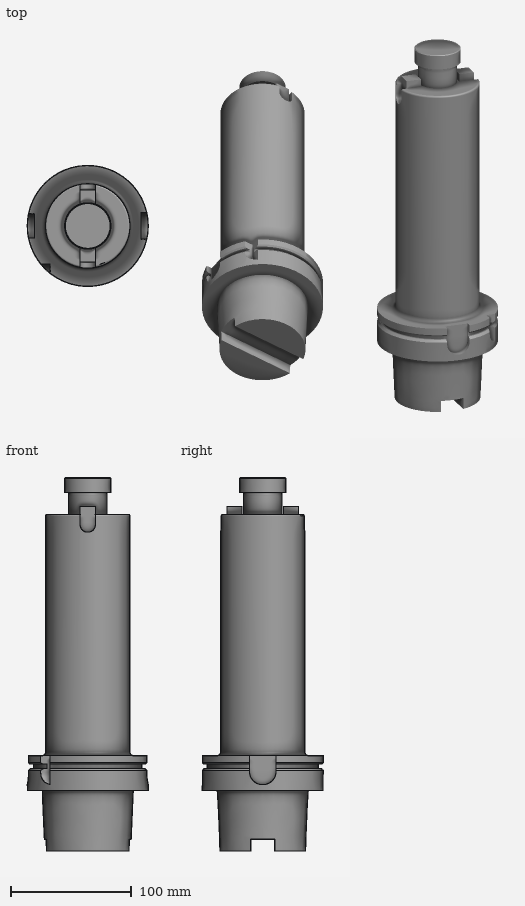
import cadquery as cq
import math

total_height = 308.8
flange_bottom = 50.0
flange_top = 79.0
barrel_top = 278.5
spigot_top = 296.5

taper_bottom_radius = 35.5
taper_top_radius = 37.7
drive_slot_width = 19.8
drive_slot_height = 10.0

flange_radius = 50.0
groove_radius = 46.0
groove_bottom = 68.5
groove_top = 72.0
groove_lower_chamfer = 2.0
groove_upper_chamfer = 1.2

notch_bottom = 55.0
left_notch_width = 19.8
right_notch_width = 22.0
side_notch_floor_x = 44.0
corner_notch_floor_x = -31.2
corner_notch_inner_y = -31.5
corner_notch_width = 19.8

barrel_radius = 35.0
cove_radius = 3.0
barrel_round = 1.5

spigot_radius = 16.0
spigot_lead_in_height = 2.2
spigot_lead_in_depth = 0.3
head_radius = 19.0
head_chamfer = 0.5

key_width = 12.7
key_top = 285.0
key_bottom = 263.7
key_inner = 17.0
key_outer = 29.5
key_sides = (-1, 1)


def round_bottom_outline(plane, center, width, bottom, top):
    """Upright slot outline in the given plane: straight sides, flat top, semicircular bottom."""
    radius = width / 2
    return (
        cq.Workplane(plane)
        .moveTo(center - radius, top)
        .lineTo(center - radius, bottom + radius)
        .threePointArc((center, bottom), (center + radius, bottom + radius))
        .lineTo(center + radius, top)
        .close()
    )


def corner_to_arc_middle(radius):
    """Offset, along each axis, from a square corner to the middle of the quarter arc that replaces it."""
    return radius * (1 - math.cos(math.radians(45)))


def turned_blank():
    """Taper, flange, barrel and spigot as one turned profile."""
    cove_start = barrel_radius + cove_radius
    cove_end = flange_top + cove_radius
    cove_middle_offset = corner_to_arc_middle(cove_radius)
    round_middle_offset = corner_to_arc_middle(barrel_round)
    return (
        cq.Workplane("XZ")
        .lineTo(taper_bottom_radius, 0)
        .lineTo(taper_top_radius, flange_bottom)
        .lineTo(flange_radius, flange_bottom)
        .lineTo(flange_radius, groove_bottom - groove_lower_chamfer)
        .lineTo(flange_radius - groove_lower_chamfer, groove_bottom)
        .lineTo(groove_radius, groove_bottom)
        .lineTo(groove_radius, groove_top)
        .lineTo(flange_radius - groove_upper_chamfer, groove_top)
        .lineTo(flange_radius, groove_top + groove_upper_chamfer)
        .lineTo(flange_radius, flange_top)
        .lineTo(cove_start, flange_top)
        .threePointArc(
            (barrel_radius + cove_middle_offset, flange_top + cove_middle_offset),
            (barrel_radius, cove_end),
        )
        .lineTo(barrel_radius, barrel_top - barrel_round)
        .threePointArc(
            (barrel_radius - round_middle_offset, barrel_top - round_middle_offset),
            (barrel_radius - barrel_round, barrel_top),
        )
        .lineTo(spigot_radius, barrel_top)
        .lineTo(spigot_radius, spigot_top - spigot_lead_in_height)
        .lineTo(spigot_radius - spigot_lead_in_depth, spigot_top)
        .lineTo(0, spigot_top)
        .close()
        .revolve(360, (0, 0, 0), (0, 1, 0))
    )


def flange_notch(center_y, width, x_start, x_end):
    """Notch cutter from the common notch bottom up through the flange top."""
    outline = round_bottom_outline("YZ", center_y, width, notch_bottom, flange_top)
    return outline.extrude(x_end - x_start).translate((x_start, 0, 0))


def flange_notches():
    """Notches on the left, the right and the front left corner of the flange."""
    corner_center_y = corner_notch_inner_y - corner_notch_width / 2
    return [
        flange_notch(0, left_notch_width, -flange_radius, -side_notch_floor_x),
        flange_notch(0, right_notch_width, side_notch_floor_x, flange_radius),
        flange_notch(corner_center_y, corner_notch_width, -flange_radius, corner_notch_floor_x),
    ]


def key_bar(side, outer_end):
    """Key-shaped bar from the inner key end to outer_end; side is -1 for front, +1 for back."""
    y_start, y_end = sorted([side * key_inner, side * outer_end])
    bar = round_bottom_outline("XZ", 0, key_width, key_bottom, key_top).extrude(y_start - y_end)
    return bar.translate((0, y_start, 0))


def make_holder():
    """Turned holder with its drive slot, flange notches and key seats cut in."""
    body = turned_blank()
    drive_slot = cq.Workplane("XY").box(
        2 * taper_top_radius, drive_slot_width, drive_slot_height, centered=(True, True, False)
    )
    body = body.cut(drive_slot)
    for notch in flange_notches():
        body = body.cut(notch)
    for side in key_sides:
        body = body.cut(key_bar(side, barrel_radius))
    return body


def make_key(side):
    """Drive key that fills the inner part of its seat."""
    return key_bar(side, key_outer)


def make_screw_head():
    """Round head seated on the spigot, with its top edge broken."""
    head_height = total_height - spigot_top
    head = cq.Workplane("XY", origin=(0, 0, spigot_top)).circle(head_radius).extrude(head_height)
    return head.faces(">Z").chamfer(head_chamfer)


holder = make_holder()
screw_head = make_screw_head()
keys = [make_key(side) for side in key_sides]

result = cq.Compound.makeCompound([holder.val(), screw_head.val(), *[key.val() for key in keys]])